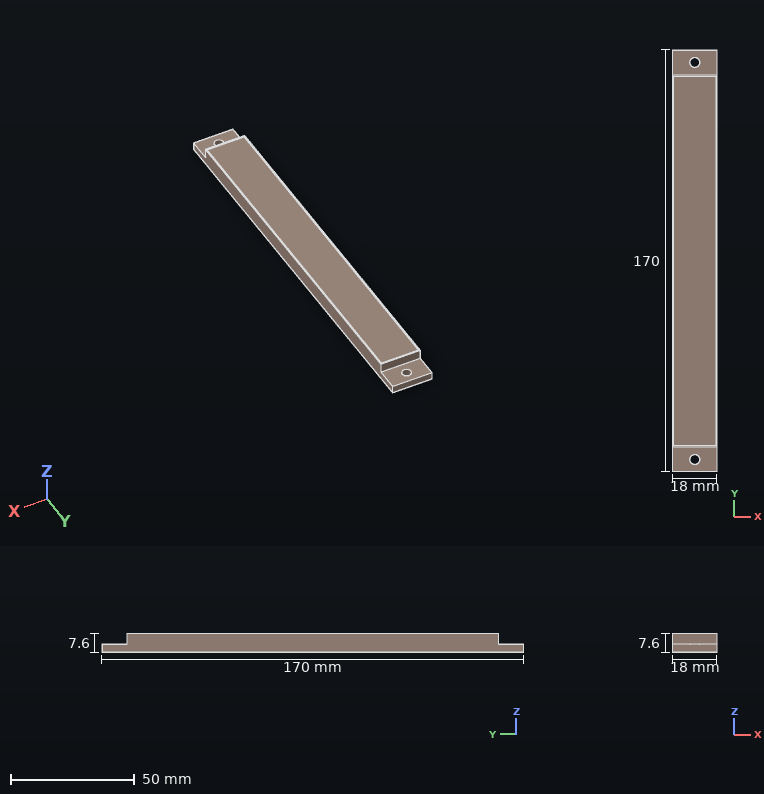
import cadquery as cq

length = 170.0
width = 18.0
height = 7.6

tab_length = 10.0
tab_thickness = 3.4
hole_diameter = 3.9
hole_edge_distance = 5.0

rim_width = 0.5
recess_depth = 0.2

body_length = length - 2 * tab_length
hole_spacing = length - 2 * hole_edge_distance

base = cq.Workplane("XY").box(width, length, tab_thickness, centered=(True, True, False))

body = cq.Workplane("XY").box(width, body_length, height, centered=(True, True, False))

recess = (
    cq.Workplane("XY")
    .workplane(offset=height - recess_depth)
    .rect(width - 2 * rim_width, body_length - 2 * rim_width)
    .extrude(recess_depth)
)

holes = (
    cq.Workplane("XY")
    .rarray(1.7, hole_spacing, 1, 2)
    .circle(hole_diameter / 2)
    .extrude(tab_thickness)
)

result = base.union(body).cut(recess).cut(holes)